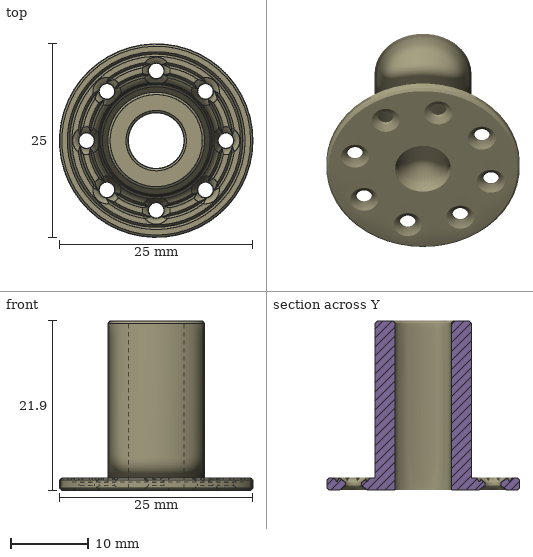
import cadquery as cq

flange_diameter = 25.0
flange_thickness = 1.6
tube_diameter = 12.5
total_height = 21.88
bore_diameter = 7.2
edge_chamfer = 0.3
bore_mouth_angle = 90.0

hole_count = 8
hole_diameter = 2.0
hole_circle_diameter = 18.0
countersink_diameter = 3.6
countersink_depth = 0.6

groove_count = 4
inner_groove_diameter = 14.5
outer_groove_diameter = 22.38
groove_pitch = (outer_groove_diameter - inner_groove_diameter) / 2 / (groove_count - 1)
groove_width = 0.6
groove_depth = 0.5


def make_flange():
    """Disc with both rims chamfered, its lower face at Z = 0."""
    disc = cq.Workplane("XY").circle(flange_diameter / 2).extrude(flange_thickness)
    return disc.edges().chamfer(edge_chamfer)


def make_tube():
    """Upright cylinder with a chamfered top rim."""
    cylinder = cq.Workplane("XY").circle(tube_diameter / 2).extrude(total_height)
    return cylinder.faces(">Z").edges().chamfer(edge_chamfer)


def cut_bore(body):
    """Through bore with a chamfered mouth at the top."""
    return body.faces(">Z").workplane(origin=(0, 0, 0)).cskHole(
        bore_diameter, bore_diameter + 2 * edge_chamfer, bore_mouth_angle
    )


def make_groove(radius):
    """Ring of V section, pointing down, with its mouth in the upper flange face."""
    return (
        cq.Workplane("XZ")
        .moveTo(radius - groove_width / 2, flange_thickness)
        .lineTo(radius, flange_thickness - groove_depth)
        .lineTo(radius + groove_width / 2, flange_thickness)
        .close()
        .revolve(360, (0, 0, 0), (0, 1, 0))
    )


def make_screw_hole_cutter():
    """Straight hole opening into a cone at both flange faces, centred on the pitch circle."""
    hole_radius = hole_diameter / 2
    mouth_radius = countersink_diameter / 2
    return (
        cq.Workplane("XZ")
        .moveTo(0, 0)
        .lineTo(mouth_radius, 0)
        .lineTo(hole_radius, countersink_depth)
        .lineTo(hole_radius, flange_thickness - countersink_depth)
        .lineTo(mouth_radius, flange_thickness)
        .lineTo(0, flange_thickness)
        .close()
        .revolve(360, (0, 0, 0), (0, 1, 0))
        .translate((hole_circle_diameter / 2, 0, 0))
    )


def cut_screw_holes(flange):
    """Equally spaced holes, the first one on the +X axis."""
    cutter = make_screw_hole_cutter()
    for index in range(hole_count):
        angle = index * 360 / hole_count
        flange = flange.cut(cutter.rotate((0, 0, 0), (0, 0, 1), angle))
    return flange


flange = cut_screw_holes(make_flange())
for index in range(groove_count):
    flange = flange.cut(make_groove(inner_groove_diameter / 2 + index * groove_pitch))

result = cut_bore(flange.union(make_tube()))